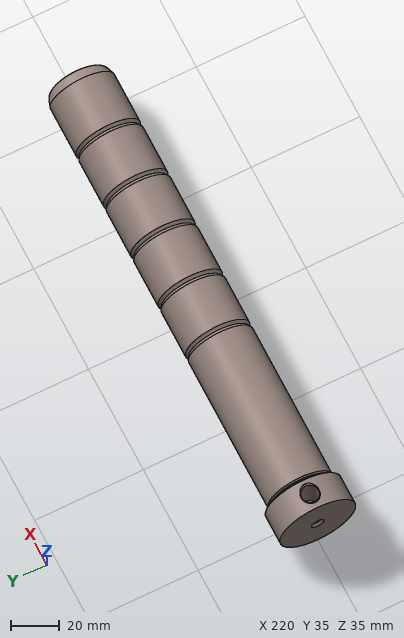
import cadquery as cq

length = 220.0
head_radius = 35.0 / 2
head_length = 14.0
head_chamfer = 0.7
shaft_radius = 30.0 / 2

neck_depth = 0.7
neck_length = 1.3

groove_count = 5
first_groove_x = 90.0
last_groove_x = 189.9
groove_pitch = (last_groove_x - first_groove_x) / (groove_count - 1)
groove_width = 2.9
groove_depth = 0.9

nose_length = 5.3
nose_taper_depth = 0.9
nose_rounding = 2.6
nose_radius = 3.5

radial_hole_x = head_length / 2
radial_hole_diameter = 7.7
radial_countersink_diameter = 9.2
axial_hole_diameter = 3.3
axial_countersink_diameter = 5.7


def turned_body():
    """Revolve the half outline of the pin about the X axis."""
    neck_radius = shaft_radius - neck_depth
    neck_end = head_length + neck_length
    outline = (
        cq.Workplane("XY")
        .moveTo(0, 0)
        .lineTo(0, head_radius)
        .lineTo(head_length - head_chamfer, head_radius)
        .lineTo(head_length, head_radius - head_chamfer)
        .lineTo(head_length, neck_radius)
        .lineTo(neck_end, neck_radius)
        .lineTo(neck_end + neck_depth, shaft_radius)
    )
    for index in range(groove_count):
        center = first_groove_x + index * groove_pitch
        outline = (
            outline.lineTo(center - groove_width / 2, shaft_radius)
            .lineTo(center, shaft_radius - groove_depth)
            .lineTo(center + groove_width / 2, shaft_radius)
        )
    nose_rim_radius = shaft_radius - nose_taper_depth
    outline = (
        outline.lineTo(length - nose_length, shaft_radius)
        .lineTo(length - nose_rounding, nose_rim_radius)
        .radiusArc((length, nose_rim_radius - nose_rounding), nose_radius)
        .lineTo(length, 0)
        .close()
    )
    return outline.revolve(360, (0, 0, 0), (1, 0, 0))


def countersunk_hole(diameter, mouth_diameter, depth):
    """Cutter along +Z from its mouth at z = 0, with a 45 degree countersink."""
    sink = (mouth_diameter - diameter) / 2
    return (
        cq.Workplane("XZ")
        .polyline([
            (0, 0),
            (mouth_diameter / 2, 0),
            (diameter / 2, sink),
            (diameter / 2, depth),
            (0, depth),
        ])
        .close()
        .revolve(360, (0, 0, 0), (0, 1, 0))
    )


radial_hole = (
    countersunk_hole(radial_hole_diameter, radial_countersink_diameter, head_radius)
    .rotate((0, 0, 0), (1, 0, 0), 180)
    .translate((radial_hole_x, 0, head_radius))
)
axial_hole = countersunk_hole(
    axial_hole_diameter, axial_countersink_diameter, radial_hole_x
).rotate((0, 0, 0), (0, 1, 0), 90)

result = turned_body().cut(radial_hole).cut(axial_hole)